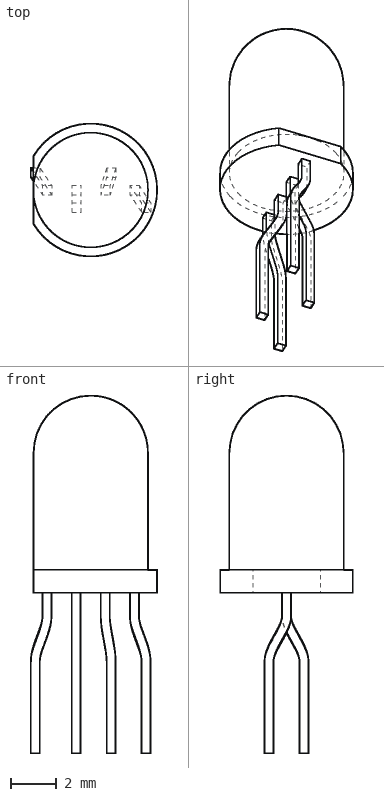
import cadquery as cq

LENS_DIAMETER = 5.0
BODY_HEIGHT = 8.6
FLANGE_DIAMETER = 5.8
FLANGE_HEIGHT = 1.0
LENS_RADIUS = LENS_DIAMETER / 2
FLANGE_RADIUS = FLANGE_DIAMETER / 2
DOME_BASE_Z = BODY_HEIGHT - LENS_RADIUS

LEAD_WIDTH = 0.4
LEAD_PITCH = 1.27
NECK_LENGTH = 1.0
BEND_HEIGHT = 2.0
LEG_LENGTH = 4.0
BEND_TOP_Z = -NECK_LENGTH
BEND_BOTTOM_Z = BEND_TOP_Z - BEND_HEIGHT

OUTER_SPREAD = 0.508
INNER_SPREAD = OUTER_SPREAD / 2
STAGGER = 0.762
LEAD_SHIFTS = [
    (-OUTER_SPREAD, STAGGER),
    (0.0, -STAGGER),
    (INNER_SPREAD, STAGGER),
    (OUTER_SPREAD, -STAGGER),
]


def make_lens():
    """Cylinder closed by a hemispherical dome."""
    cylinder = cq.Workplane("XY").circle(LENS_RADIUS).extrude(DOME_BASE_Z)
    dome = cq.Workplane("XZ").moveTo(0, DOME_BASE_Z).lineTo(LENS_RADIUS, DOME_BASE_Z)
    dome = dome.radiusArc((0, BODY_HEIGHT), -LENS_RADIUS).close()
    dome = dome.revolve(360, (0, 0), (0, 1))
    return cylinder.union(dome)


def make_flange():
    """Round rim with a polarity flat on -X, tangent to the lens."""
    disc = cq.Workplane("XY").circle(FLANGE_RADIUS).extrude(FLANGE_HEIGHT)
    flat_start = cq.Workplane("XY", origin=(-LENS_RADIUS, 0, 0))
    keep = flat_start.box(
        LENS_RADIUS + FLANGE_RADIUS, FLANGE_DIAMETER, FLANGE_HEIGHT, centered=(False, True, False)
    )
    return disc.intersect(keep)


def straight_wire(x, y, top_z, length):
    """Vertical square wire hanging down from top_z."""
    section = cq.Workplane("XY", origin=(x, y, top_z)).rect(LEAD_WIDTH, LEAD_WIDTH)
    return section.extrude(-length)


def make_lead(x, shift_x, shift_y):
    """Lead leaving the flange at (x, 0) and moved sideways by its bend."""
    leg_x = x + shift_x
    handle = BEND_HEIGHT / 3
    bend_path = cq.Workplane("XY").bezier([
        (x, 0, BEND_TOP_Z),
        (x, 0, BEND_TOP_Z - handle),
        (leg_x, shift_y, BEND_BOTTOM_Z + handle),
        (leg_x, shift_y, BEND_BOTTOM_Z),
    ])
    bend_section = cq.Workplane("XY", origin=(x, 0, BEND_TOP_Z)).rect(LEAD_WIDTH, LEAD_WIDTH)
    bend = bend_section.sweep(bend_path)
    neck = straight_wire(x, 0, 0, NECK_LENGTH)
    leg = straight_wire(leg_x, shift_y, BEND_BOTTOM_Z, LEG_LENGTH)
    return neck.union(bend).union(leg)


result = make_lens().union(make_flange())
first_lead_x = -LEAD_PITCH * (len(LEAD_SHIFTS) - 1) / 2
for index, (shift_x, shift_y) in enumerate(LEAD_SHIFTS):
    lead = make_lead(first_lead_x + index * LEAD_PITCH, shift_x, shift_y)
    result = result.union(lead)